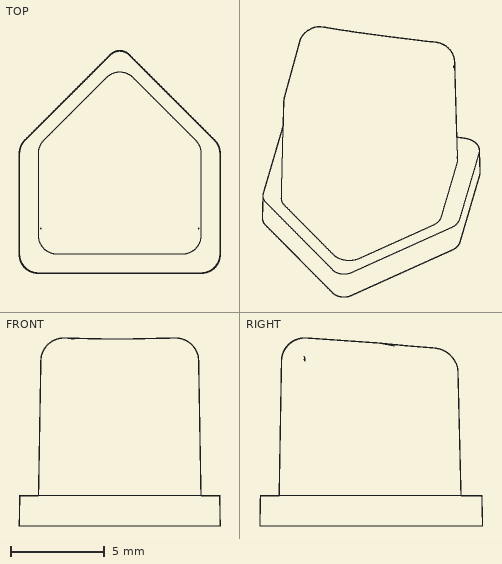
import cadquery as cq
import math

flange_width = 10.75
overall_depth = 11.91
flange_height = 1.63
ledge = 1.0
draft_angle = 1.0

corner_radius = 1.0
flange_tip_radius = 0.7
top_edge_radius = 1.25

top_slope = 4.0
crest_height = 10.06
crest_from_front = 2.4
dish_radius = 75.0
top_half_width = 2.95

blank_height = 12.0

front_y = -overall_depth / 2

tip_rounding_loss = flange_tip_radius * (math.sqrt(2) - 1)
sharp_tip_y = overall_depth / 2 + tip_rounding_loss
shoulder_y = sharp_tip_y - flange_width / 2


def drafted_pentagon(half_width, front, height):
    """Sharp-edged pentagonal block on the XY plane, with drafted walls."""
    outline = [
        (-half_width, front),
        (half_width, front),
        (half_width, shoulder_y),
        (0, shoulder_y + half_width),
        (-half_width, shoulder_y),
    ]
    return cq.Workplane("XY").polyline(outline).close().extrude(height, taper=draft_angle)


def is_upright(edge):
    start = edge.startPoint()
    end = edge.endPoint()
    run = math.hypot(end.x - start.x, end.y - start.y)
    return abs(end.z - start.z) > run


def fillet_together(solid, edges_by_radius):
    """Fillet groups of meeting edges, each with its own radius, in one operation."""
    builder = cq.occ_impl.shapes.BRepFilletAPI_MakeFillet(solid.wrapped)
    for radius, edges in edges_by_radius:
        for edge in edges:
            builder.Add(radius, edge.wrapped)
    return cq.Workplane(cq.Shape.cast(builder.Shape()))


def make_flange():
    block = drafted_pentagon(flange_width / 2, front_y, flange_height)
    upright = [edge for edge in block.edges().vals() if is_upright(edge)]
    tip = max(upright, key=lambda edge: edge.Center().y)
    corners = [edge for edge in upright if edge is not tip]
    return fillet_together(block.val(), [(corner_radius, corners), (flange_tip_radius, [tip])])


def make_dish_cutter():
    """Long cylinder whose underside forms the sloping, dished top face."""
    cutter_length = 4 * overall_depth
    axis_height = math.sqrt(dish_radius**2 - top_half_width**2)
    return (
        cq.Workplane("XZ", origin=(0, cutter_length / 2, 0))
        .center(0, axis_height)
        .circle(dish_radius)
        .extrude(cutter_length)
        .rotate((0, 0, 0), (1, 0, 0), -top_slope)
        .translate((0, front_y + crest_from_front, crest_height))
    )


def make_body():
    draft_inset = flange_height * math.tan(math.radians(draft_angle))
    inset = ledge + draft_inset
    block = drafted_pentagon(flange_width / 2 - inset, front_y + inset, blank_height)
    block = block.translate((0, 0, flange_height)).cut(make_dish_cutter())

    edges = block.edges().vals()
    upright = [edge for edge in edges if is_upright(edge)]
    middle_height = (flange_height + crest_height) / 2
    rim = [edge for edge in edges if not is_upright(edge) and edge.Center().z > middle_height]
    return fillet_together(block.val(), [(corner_radius, upright), (top_edge_radius, rim)])


result = make_flange().union(make_body())